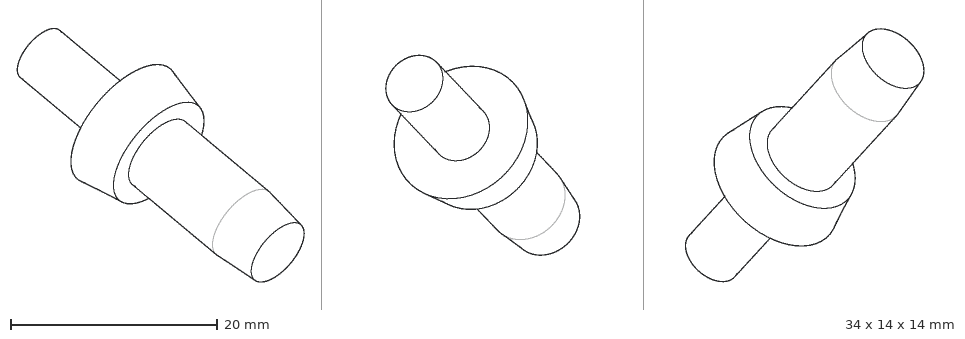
import cadquery as cq

overall_length = 34.0
pin_length = 12.0
collar_length = 5.0
shank_length = pin_length
collar_end = pin_length + collar_length
shank_end = collar_end + shank_length

pin_diameter = 6.0
collar_large_diameter = 14.0
collar_small_diameter = 2 * pin_diameter
shank_diameter = 8.0
tip_diameter = 7.0

half_outline = (
    cq.Workplane("XY")
    .moveTo(0, 0)
    .lineTo(0, pin_diameter / 2)
    .lineTo(pin_length, pin_diameter / 2)
    .lineTo(pin_length, collar_large_diameter / 2)
    .lineTo(collar_end, collar_small_diameter / 2)
    .lineTo(collar_end, shank_diameter / 2)
    .lineTo(shank_end, shank_diameter / 2)
    .lineTo(overall_length, tip_diameter / 2)
    .lineTo(overall_length, 0)
    .close()
)

result = half_outline.revolve(360, (0, 0, 0), (1, 0, 0))